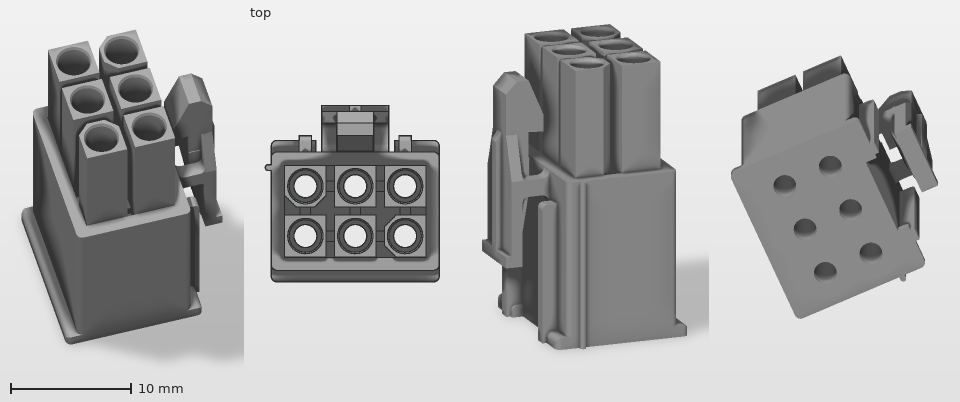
import cadquery as cq

total_height = 23.73
pitch = 4.15
columns = 3
rows = 2
overlap = 0.5

body_width = 14.0
body_depth = 9.85
body_height = 14.42
corner_radius = 0.5

flange_reach = 0.975
flange_height = 1.0
flange_gap = 6.55

key_reach = 0.5
key_width = 0.5
key_y = 3.63

guard_width = 1.05
guard_offset = 4.15
guard_reach = 1.35
guard_height = 12.0

tower_size = 3.47
tower_chamfer = 0.97
cavity_diameter = 2.7
cavity_mouth_diameter = 2.95
mouth_depth = 0.25
contact_diameter = 1.9

recess_depth = 1.5
recess_front_clearance = 0.07
web_width = 0.87
web_drop = 0.75

lever_width = 5.6
lever_bottom = 6.25
lever_front = 7.32
lever_back = 8.3
grip_back = 8.8
grip_ledge_height = 0.96
grip_rib_width = 0.95
grip_rib_chamfer = 0.78
bridge_bottom = 12.26
bridge_top = 13.7
bridge_body_fillet = 0.7
bridge_lever_fillet = 0.5

arm_width = 3.0
arm_root_width = 3.12
arm_front = 6.28
arm_root_top = 15.26
gusset_foot = 7.28
hook_top = 21.95
hook_tip = 4.97
hook_tip_top = 18.89
hook_bottom = 17.38
hook_undercut = 0.1
hook_back_shoulder = 20.92

body_back = body_depth / 2
flange_depth = body_depth + 2 * flange_reach
tower_array_width = (columns - 1) * pitch + tower_size
tower_array_depth = (rows - 1) * pitch + tower_size
tower_root = body_height - recess_depth
column_x = [(i - (columns - 1) / 2) * pitch for i in range(columns)]
row_y = [(j - (rows - 1) / 2) * pitch for j in range(rows)]
tower_places = [(x, y) for x in column_x for y in row_y]


def block(x_range, y_range, z_range):
    """Box given by its limits along X, Y and Z."""
    return cq.Workplane("XY").box(
        x_range[1] - x_range[0],
        y_range[1] - y_range[0],
        z_range[1] - z_range[0],
        centered=False,
    ).translate((x_range[0], y_range[0], z_range[0]))


def side_profile(width):
    """Workplane for a Y-Z outline that is extruded symmetrically about X = 0."""
    return cq.Workplane("YZ").workplane(offset=-width / 2)


def make_body():
    return (
        cq.Workplane("XY")
        .rect(body_width, body_depth)
        .extrude(body_height)
        .edges("|Z")
        .fillet(corner_radius)
    )


def make_flange():
    rounded_plan = (
        cq.Workplane("XY")
        .rect(body_width, flange_depth)
        .extrude(flange_height)
        .edges("|Z")
        .fillet(corner_radius)
    )
    rounded_side = (
        cq.Workplane("XY")
        .rect(body_width, flange_depth)
        .extrude(flange_height)
        .edges("|X and >Z")
        .fillet(corner_radius)
    )
    opening = block(
        (-flange_gap / 2, flange_gap / 2),
        (body_back, body_back + flange_reach),
        (0, flange_height),
    )
    return rounded_plan.intersect(rounded_side).cut(opening)


def make_key_rib():
    side = -body_width / 2
    nose_radius = key_width / 2
    nose_x = side - key_reach + nose_radius
    return (
        cq.Workplane("XY")
        .moveTo(side + overlap, key_y - nose_radius)
        .lineTo(nose_x, key_y - nose_radius)
        .threePointArc((nose_x - nose_radius, key_y), (nose_x, key_y + nose_radius))
        .lineTo(side + overlap, key_y + nose_radius)
        .close()
        .extrude(body_height)
    )


def make_guard_rib(x):
    return (
        block(
            (x - guard_width / 2, x + guard_width / 2),
            (body_back - overlap, body_back + guard_reach),
            (0, guard_height),
        )
        .edges(">Y and >Z")
        .fillet(corner_radius)
    )


def make_recess():
    return block(
        (-tower_array_width / 2, tower_array_width / 2),
        (-tower_array_depth / 2 - recess_front_clearance, tower_array_depth / 2),
        (tower_root, body_height),
    )


def make_webs():
    """Low walls that join neighbouring towers inside the recess."""
    web_top = body_height - web_drop
    webs = cq.Workplane("XY")
    for y in row_y:
        webs = webs.union(
            block(
                (column_x[0], column_x[-1]),
                (y - web_width / 2, y + web_width / 2),
                (tower_root - overlap, web_top),
            )
        )
    for x in column_x:
        webs = webs.union(
            block(
                (x - web_width / 2, x + web_width / 2),
                (row_y[0], row_y[-1]),
                (tower_root - overlap, web_top),
            )
        )
    return webs


def make_tower(x, y, chamfered_side=None):
    """Square tower; chamfered_side names the face whose two upright edges are cut."""
    bottom = tower_root - overlap
    tower = (
        cq.Workplane("XY")
        .rect(tower_size, tower_size)
        .extrude(total_height - bottom)
    )
    if chamfered_side:
        tower = tower.faces(chamfered_side).edges("|Z").chamfer(tower_chamfer)
    return tower.translate((x, y, bottom))


def make_towers():
    chamfered_sides = {
        (column_x[0], row_y[-1]): "<Y",
        (column_x[-1], row_y[0]): "<X",
    }
    towers = cq.Workplane("XY")
    for place in tower_places:
        towers = towers.union(make_tower(*place, chamfered_sides.get(place)))
    return towers


def make_cavity():
    """Stepped bore: tapered mouth, cavity down to the body top, then a through hole."""
    mouth_bottom = total_height - mouth_depth
    contact_radius = contact_diameter / 2
    cavity_radius = cavity_diameter / 2
    return (
        cq.Workplane("XZ")
        .moveTo(0, 0)
        .lineTo(contact_radius, 0)
        .lineTo(contact_radius, body_height)
        .lineTo(cavity_radius, body_height)
        .lineTo(cavity_radius, mouth_bottom)
        .lineTo(cavity_mouth_diameter / 2, total_height)
        .lineTo(0, total_height)
        .close()
        .revolve(360, (0, 0, 0), (0, 1, 0))
    )


def make_lever():
    """Rocking plate, narrowed above the bridge to the width of the hook arm."""
    half = lever_width / 2
    return (
        cq.Workplane("XZ", origin=(0, lever_back, 0))
        .moveTo(-half, lever_bottom)
        .lineTo(half, lever_bottom)
        .lineTo(half, bridge_top)
        .lineTo(arm_width / 2, hook_bottom)
        .lineTo(-arm_width / 2, hook_bottom)
        .lineTo(-half, bridge_top)
        .close()
        .extrude(lever_back - lever_front)
    )


def make_grip():
    """Full-width ledge at the lever foot and a narrow rib up its back."""
    ledge = block(
        (-lever_width / 2, lever_width / 2),
        (lever_front, grip_back),
        (lever_bottom, lever_bottom + grip_ledge_height),
    )
    rib = (
        side_profile(grip_rib_width)
        .moveTo(lever_front, lever_bottom)
        .lineTo(grip_back, lever_bottom)
        .lineTo(grip_back, hook_bottom - grip_rib_chamfer)
        .lineTo(lever_back, hook_bottom)
        .lineTo(lever_front, hook_bottom)
        .close()
        .extrude(grip_rib_width)
    )
    return ledge.union(rib)


def make_bridge():
    """Two flared hinge straps between body and lever, with a window below the hook."""
    body_r = bridge_body_fillet
    lever_r = bridge_lever_fillet
    window = block(
        (-arm_root_width / 2, arm_root_width / 2),
        (body_back, arm_front),
        (bridge_bottom - body_r, bridge_top + body_r),
    )
    bridge = (
        side_profile(lever_width)
        .moveTo(body_back - overlap, bridge_bottom - body_r)
        .lineTo(body_back, bridge_bottom - body_r)
        .radiusArc((body_back + body_r, bridge_bottom), body_r)
        .lineTo(lever_front - lever_r, bridge_bottom)
        .radiusArc((lever_front, bridge_bottom - lever_r), lever_r)
        .lineTo(lever_back, bridge_bottom - lever_r)
        .lineTo(lever_back, bridge_top)
        .lineTo(lever_front, bridge_top)
        .lineTo(lever_front, bridge_top + lever_r)
        .radiusArc((lever_front - lever_r, bridge_top), lever_r)
        .lineTo(body_back + body_r, bridge_top)
        .radiusArc((body_back, bridge_top + body_r), body_r)
        .lineTo(body_back - overlap, bridge_top + body_r)
        .close()
        .extrude(lever_width)
    )
    return bridge.cut(window)


def make_hook_arm():
    arm = (
        side_profile(arm_width)
        .moveTo(lever_back, bridge_bottom)
        .lineTo(lever_back, hook_back_shoulder)
        .lineTo(lever_front, hook_top)
        .lineTo(arm_front, hook_top)
        .lineTo(hook_tip, hook_tip_top)
        .lineTo(hook_tip, hook_bottom)
        .lineTo(arm_front, hook_bottom + hook_undercut)
        .lineTo(arm_front, bridge_bottom)
        .close()
        .extrude(arm_width)
    )
    gusset = (
        side_profile(arm_root_width)
        .moveTo(arm_front, bridge_bottom)
        .lineTo(gusset_foot, lever_bottom)
        .lineTo(lever_back, lever_bottom)
        .lineTo(lever_back, bridge_bottom)
        .close()
        .extrude(arm_root_width)
    )
    root = block(
        (-arm_root_width / 2, arm_root_width / 2),
        (arm_front, lever_back),
        (bridge_bottom, arm_root_top),
    )
    return arm.union(gusset).union(root)


result = make_body().union(make_flange()).union(make_key_rib())
for guard_x in (-guard_offset, guard_offset):
    result = result.union(make_guard_rib(guard_x))

result = result.cut(make_recess()).union(make_webs()).union(make_towers())
cavity = make_cavity()
for tower_x, tower_y in tower_places:
    result = result.cut(cavity.translate((tower_x, tower_y, 0)))

for latch_piece in (make_bridge(), make_lever(), make_grip(), make_hook_arm()):
    result = result.union(latch_piece)